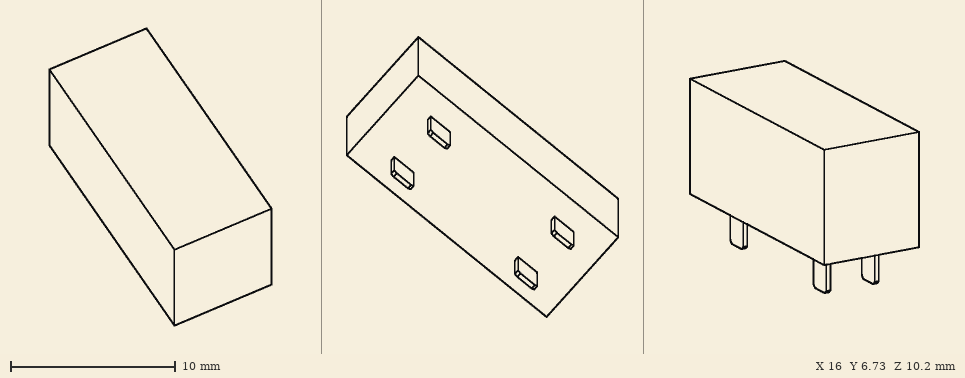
import cadquery as cq

body_length = 16.0
body_width = 6.73
overall_height = 10.16
pin_length = 2.76
body_height = overall_height - pin_length

pin_width = 1.55
pin_thickness = 0.3
pin_tip_chamfer = 0.2
pin_pitch_x = 9.9
pin_pitch_y = 3.42


def make_body():
    """Plain rectangular housing standing on Z = 0."""
    return cq.Workplane("XY").box(body_length, body_width, body_height, centered=(True, True, False))


def make_pin(x, y):
    """Flat pin hanging below the housing, with both lower corners cut off."""
    pin = cq.Workplane("XY").box(pin_width, pin_thickness, pin_length, centered=(True, True, False))
    pin = pin.faces("<Z").edges("|Y").chamfer(pin_tip_chamfer)
    return pin.translate((x, y, -pin_length))


result = make_body()
for side_x in (-1, 1):
    for side_y in (-1, 1):
        result = result.union(make_pin(side_x * pin_pitch_x / 2, side_y * pin_pitch_y / 2))